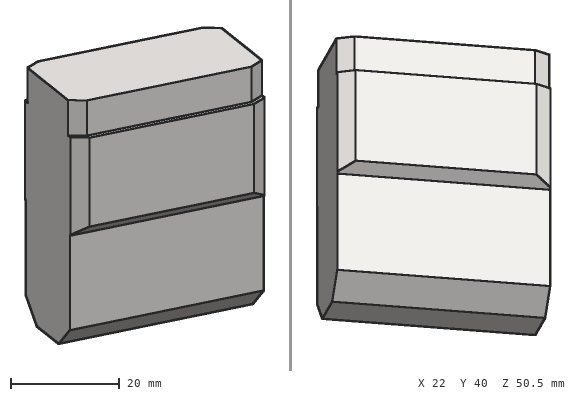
import cadquery as cq

height = 50.5
depth = 40.0
collar_width = 22.0

cap_width = 19.9
body_width = 18.0
foot_width = 8.9

foot_bevel_height = 4.55
collar_top = 43.45
collar_bevel_drop = (collar_width - body_width) / 2
collar_bevel_top = 25.55
collar_bottom = collar_bevel_top - collar_bevel_drop

corner_x = 1.7
corner_y = 3.05


def extrude_profile(points):
    """Extrude an XZ outline through the full depth, centred on Y."""
    return cq.Workplane("XZ").polyline(points).close().extrude(depth / 2, both=True)


def mirrored(half_points):
    """Complete a right-hand half outline with its mirror image about X = 0."""
    return half_points + [(-x, z) for x, z in reversed(half_points)]


def corner_chamfered_prism(width, bottom, top):
    """Upright block whose four vertical corners are cut off."""
    x, y = width / 2, depth / 2
    right = [(x - corner_x, -y), (x, -y + corner_y), (x, y - corner_y), (x - corner_x, y)]
    outline = mirrored(right)
    return cq.Workplane("XY").workplane(offset=bottom).polyline(outline).close().extrude(top - bottom)


body = extrude_profile(mirrored([
    (foot_width / 2, 0),
    (body_width / 2, foot_bevel_height),
    (body_width / 2, collar_top),
]))

collar_taper = extrude_profile(mirrored([
    (body_width / 2, collar_bottom),
    (collar_width / 2, collar_bevel_top),
    (collar_width / 2, collar_top),
]))
collar = corner_chamfered_prism(collar_width, collar_bottom, collar_top).intersect(collar_taper)

cap = corner_chamfered_prism(cap_width, collar_top, height)

result = body.union(collar).union(cap)